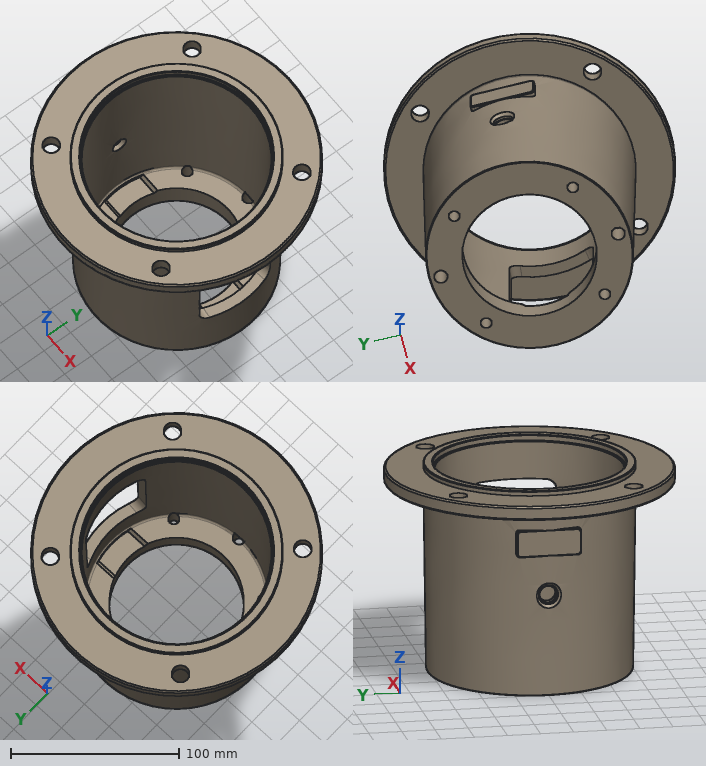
import cadquery as cq
import math

total_height = 127.0
pilot_height = 3.0
flange_thickness = 8.5
floor_thickness = 15.5
flange_top = total_height - pilot_height
flange_bottom = flange_top - flange_thickness

flange_radius = 86.5
flange_edge = 1.0
pilot_radius = 63.1
pilot_edge = 0.5
bolt_circle_radius = 74.9
bolt_hole_diameter = 10.5

collar_height = 1.5
body_bottom_radius = 61.5
bottom_edge = 0.5
counterbore_radius = 57.5
counterbore_depth = 3.5
counterbore_edge = 0.5
bore_top_radius = 56.2
bore_floor_radius = 54.5
bore_corner_fillet = 1.4

floor_opening_radius = 40.0
small_hole_circle_radius = 51.5
small_hole_diameter = 6.5
side_hole_offset = 54.5
side_hole_diameter = 8.0
channel_depth = 2.0
channel_bottom_width = 25.3
channel_top_width = channel_bottom_width + 2 * channel_depth

window_bottom = 35.8
window_top = 100.1
window_outer_width = 54.8
window_corner_radius = 6.0
window_draft = 7.0

port_height = 62.0
port_diameter = 10.0
port_mouth_diameter = 15.5
port_mouth_depth = 1.9
port_entry_diameter = 11.8
port_entry_depth = 3.5

plate_width = 39.1
plate_height = 16.6
plate_center_height = 94.6
plate_corner_radius = 2.2
plate_edge = 0.7


def ring_profile():
    """Half section of the pilot, flange and drafted cup wall, revolved about Z."""
    counterbore_floor = total_height - counterbore_depth
    return (
        cq.Workplane("XZ")
        .moveTo(floor_opening_radius, 0)
        .lineTo(body_bottom_radius - bottom_edge, 0)
        .lineTo(body_bottom_radius, bottom_edge)
        .lineTo(pilot_radius, flange_bottom - collar_height)
        .lineTo(pilot_radius, flange_bottom)
        .lineTo(flange_radius - flange_edge, flange_bottom)
        .lineTo(flange_radius, flange_bottom + flange_edge)
        .lineTo(flange_radius, flange_top - flange_edge)
        .lineTo(flange_radius - flange_edge, flange_top)
        .lineTo(pilot_radius, flange_top)
        .lineTo(pilot_radius, total_height - pilot_edge)
        .lineTo(pilot_radius - pilot_edge, total_height)
        .lineTo(counterbore_radius + counterbore_edge, total_height)
        .lineTo(counterbore_radius, total_height - counterbore_edge)
        .lineTo(counterbore_radius, counterbore_floor)
        .lineTo(bore_top_radius + counterbore_edge, counterbore_floor)
        .lineTo(bore_top_radius, counterbore_floor - counterbore_edge)
        .lineTo(bore_floor_radius, floor_thickness + bore_corner_fillet)
        .radiusArc((bore_floor_radius - bore_corner_fillet, floor_thickness), bore_corner_fillet)
        .lineTo(floor_opening_radius, floor_thickness)
        .close()
    )


def diagonal_holes(circle_radius, diameter, bottom, height):
    """Four upright cylinders on the 45 degree diagonals."""
    return (
        cq.Workplane("XY")
        .workplane(offset=bottom)
        .polarArray(circle_radius, 45, 360, 4)
        .circle(diameter / 2)
        .extrude(height)
    )


def side_floor_holes():
    """Two floor holes at +Y and -Y that break into the foot of the bore wall."""
    return (
        cq.Workplane("XY")
        .pushPoints([(0, side_hole_offset), (0, -side_hole_offset)])
        .circle(side_hole_diameter / 2)
        .extrude(floor_thickness + bore_corner_fillet)
    )


def floor_channel():
    """Channel across the floor along X with 45 degree sides, kept inside the bore."""
    channel_bottom = floor_thickness - channel_depth
    channel = (
        cq.Workplane("YZ")
        .moveTo(-channel_bottom_width / 2, channel_bottom)
        .lineTo(channel_bottom_width / 2, channel_bottom)
        .lineTo(channel_top_width / 2, floor_thickness)
        .lineTo(channel_top_width / 2, floor_thickness + bore_corner_fillet)
        .lineTo(-channel_top_width / 2, floor_thickness + bore_corner_fillet)
        .lineTo(-channel_top_width / 2, floor_thickness)
        .close()
        .extrude(flange_radius, both=True)
    )
    bore_foot_radius = bore_floor_radius - bore_corner_fillet
    bore_foot = cq.Workplane("XY").circle(bore_foot_radius).extrude(total_height)
    return channel.intersect(bore_foot)


def window():
    """Round-cornered opening through the +X wall, its two sides drafted to widen outward."""
    outer_x = pilot_radius
    inner_x = floor_opening_radius
    draft_step = (outer_x - inner_x) * math.tan(math.radians(window_draft))
    outer_half_width = window_outer_width / 2
    inner_half_width = outer_half_width - draft_step
    return (
        cq.Workplane("XY")
        .workplane(offset=window_bottom)
        .moveTo(inner_x, -inner_half_width)
        .lineTo(outer_x, -outer_half_width)
        .lineTo(outer_x, outer_half_width)
        .lineTo(inner_x, inner_half_width)
        .close()
        .extrude(window_top - window_bottom)
        .edges("not (|Y or |Z)")
        .fillet(window_corner_radius)
    )


def port():
    """Radial hole through the -X wall with a conical mouth and a wider entry."""
    body_slope = (pilot_radius - body_bottom_radius) / (flange_bottom - collar_height - bottom_edge)
    wall_radius = body_bottom_radius + body_slope * (port_height - bottom_edge)
    hole_radius = port_diameter / 2
    entry_radius = port_entry_diameter / 2
    mouth_radius = port_mouth_diameter / 2
    return (
        cq.Workplane("XY")
        .moveTo(0, 0)
        .lineTo(-flange_radius, 0)
        .lineTo(-flange_radius, mouth_radius)
        .lineTo(-wall_radius, mouth_radius)
        .lineTo(-wall_radius + port_mouth_depth, entry_radius)
        .lineTo(-wall_radius + port_entry_depth, entry_radius)
        .lineTo(-wall_radius + port_entry_depth, hole_radius)
        .lineTo(0, hole_radius)
        .close()
        .revolve(360, (0, 0, 0), (1, 0, 0))
        .translate((0, 0, port_height))
    )


def name_plate():
    """Flat rounded plate whose face is level with the pilot radius."""
    inner_x = -(bore_top_radius + pilot_radius) / 2
    return (
        cq.Workplane("YZ")
        .workplane(offset=-pilot_radius)
        .center(0, plate_center_height)
        .rect(plate_width, plate_height)
        .extrude(inner_x + pilot_radius)
        .edges("|X")
        .fillet(plate_corner_radius)
        .faces("<X")
        .chamfer(plate_edge)
    )


result = ring_profile().revolve(360, (0, 0, 0), (0, 1, 0))
result = result.union(name_plate())
hole_top = floor_thickness + bore_corner_fillet
result = result.cut(diagonal_holes(bolt_circle_radius, bolt_hole_diameter, flange_bottom, flange_thickness))
result = result.cut(diagonal_holes(small_hole_circle_radius, small_hole_diameter, 0, hole_top))
result = result.cut(side_floor_holes())
result = result.cut(floor_channel())
result = result.cut(window())
result = result.cut(port())